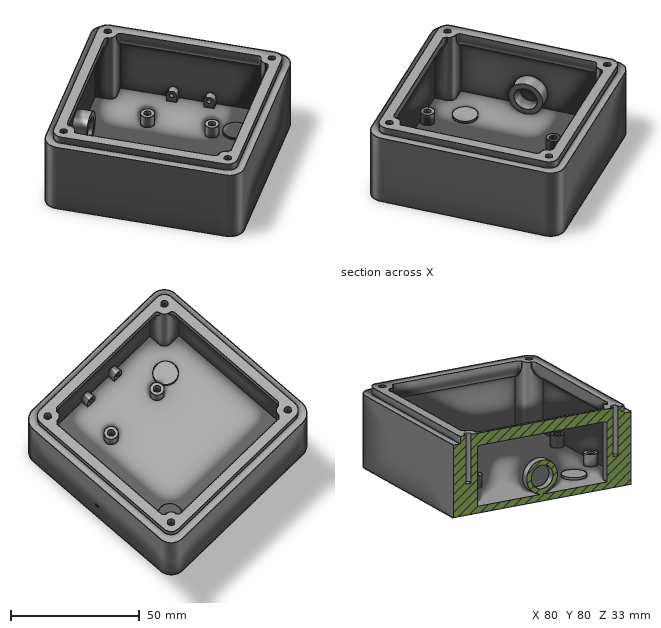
import cadquery as cq

side = 80.0
body_height = 30.0
corner_radius = 6.0
wall = corner_radius / 2
floor = wall
lip_height = wall
lip_corner_radius = 4.0
height = body_height + lip_height
inner_side = side - 2 * wall

rim_overhang = 4.0
rim_edge_height = 2.0
opening_side = inner_side - 2 * rim_overhang
rim_round = 6.0
rim_height = rim_edge_height + rim_round
opening_fillet = 1.5

post_reach = 4.0
post_round = 3.0
post_place = opening_side / 2
screw_diameter = 2.8
screw_depth = 20.0

standoff_diameter = 5.5
standoff_hole_diameter = 2.8
standoff_height = 5.0
standoff_x = 13.0
standoff_rows_y = (18.0, -34.0)
pad_diameter = 10.0
pad_thickness = 1.0
pad_place = 21.5

lug_x = 7.5
lug_width = 4.0
lug_reach = 3.2
lug_axis_height = 6.0
lug_hole_diameter = 1.9

seat_diameter = 14.0
seat_bore_diameter = 9.5
seat_reach = 6.0
seat_axis_height = 10.0
port_diameter = 1.8

quadrants = [(x_sign, y_sign) for x_sign in (-1, 1) for y_sign in (-1, 1)]


def plate(width, depth, radius, bottom, top):
    """Rectangular plate with rounded corners between two heights."""
    block = cq.Workplane("XY", origin=(0, 0, bottom)).rect(width, depth).extrude(top - bottom)
    return block.edges("|Z").fillet(radius)


def cylinder(x, y, diameter, bottom, top):
    """Upright cylinder between two heights."""
    base = cq.Workplane("XY", origin=(x, y, bottom))
    return base.circle(diameter / 2).extrude(top - bottom)


def box(size_x, size_y, bottom, top, x=0.0, y=0.0):
    """Box centred on x and y between two heights."""
    return cq.Workplane("XY", origin=(x, y, bottom)).rect(size_x, size_y).extrude(top - bottom)


def rim_frame(width, depth):
    """Frame round a rectangular opening, with its lower inner edge rounded back to the wall."""
    bottom = height - rim_height
    frame = box(side, side, bottom, height)
    frame = frame.cut(plate(width, depth, opening_fillet, bottom, height))
    lower_inner_edges = cq.selectors.BoxSelector(
        (-inner_side / 2, -inner_side / 2, bottom - rim_edge_height),
        (inner_side / 2, inner_side / 2, bottom + rim_edge_height),
    )
    return frame.edges(lower_inner_edges).fillet(rim_round)


def rim():
    """Overhanging rim, notched at the corners where the posts show."""
    short_side = opening_side - 2 * post_reach
    ring = rim_frame(opening_side, short_side).intersect(rim_frame(short_side, opening_side))
    notch_place = (opening_side - post_reach) / 2
    for x_sign, y_sign in quadrants:
        x = x_sign * notch_place
        y = y_sign * notch_place
        ring = ring.cut(box(post_reach, post_reach, floor, height, x, y))
    return ring


def corner_post(x_sign, y_sign):
    """Square post in a corner of the cavity, with its free edge rounded."""
    size = (inner_side - opening_side) / 2 + post_reach
    x = x_sign * (inner_side - size) / 2
    y = y_sign * (inner_side - size) / 2
    free_edge = cq.selectors.NearestToPointSelector((0, 0, height / 2))
    return box(size, size, floor, height, x, y).edges("|Z").edges(free_edge).fillet(post_round)


def cavity():
    """Inner space of the box, clear of the rim and the posts."""
    space = box(inner_side, inner_side, floor, height).cut(rim())
    for x_sign, y_sign in quadrants:
        space = space.cut(corner_post(x_sign, y_sign))
    return space


def shell():
    """Body and lip, hollowed and drilled for the lid screws."""
    body = plate(side, side, corner_radius, 0, body_height)
    lip = plate(inner_side, inner_side, lip_corner_radius, 0, height)
    case = body.union(lip).cut(cavity())
    for x_sign, y_sign in quadrants:
        screw_hole = cylinder(
            x_sign * post_place, y_sign * post_place, screw_diameter, height - screw_depth, height
        )
        case = case.cut(screw_hole)
    return case


def standoff(x, y):
    """Floor standoff with a blind hole down to the floor."""
    top = floor + standoff_height
    sleeve = cylinder(x, y, standoff_diameter, floor, top)
    return sleeve.cut(cylinder(x, y, standoff_hole_diameter, floor, top))


def wall_lug(x):
    """Round-topped lug standing on the floor against the +Y wall."""
    face = cq.Workplane("XZ", origin=(x, inner_side / 2, 0))
    head = face.center(0, lug_axis_height).circle(lug_width / 2).extrude(lug_reach)
    stem = box(lug_width, lug_reach, floor, lug_axis_height, x, (inner_side - lug_reach) / 2)
    hole = face.center(0, lug_axis_height).circle(lug_hole_diameter / 2).extrude(lug_reach)
    return head.union(stem).cut(hole)


def on_seat_axis(diameter, start_x, length):
    """Cylinder along +X on the axis of the sensor seat."""
    base = cq.Workplane("YZ", origin=(start_x, 0, seat_axis_height))
    return base.circle(diameter / 2).extrude(length)


result = shell()

for row_y in standoff_rows_y:
    for x_sign in (-1, 1):
        result = result.union(standoff(x_sign * standoff_x, row_y))

for pad_xy in (-pad_place, pad_place):
    result = result.union(cylinder(pad_xy, pad_xy, pad_diameter, floor, floor + pad_thickness))

for x_sign in (-1, 1):
    result = result.union(wall_lug(x_sign * lug_x))

result = result.union(on_seat_axis(seat_diameter, -inner_side / 2, seat_reach))
result = result.cut(on_seat_axis(seat_bore_diameter, -inner_side / 2, seat_reach))
result = result.cut(on_seat_axis(port_diameter, -side / 2, wall))